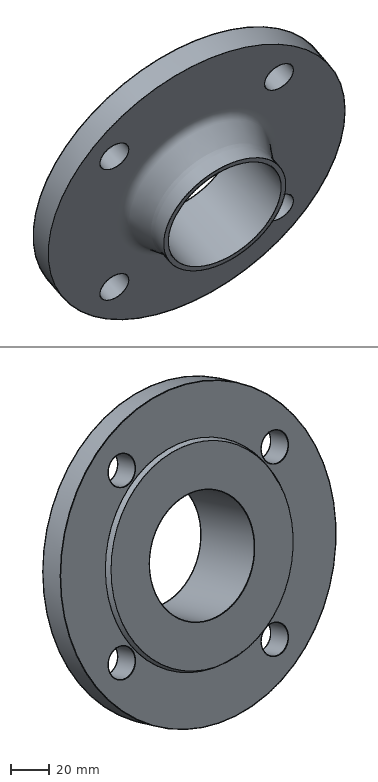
import cadquery as cq

flange_diameter = 185.0
overall_length = 45.0
bore_diameter = 70.3

face_height = 3.1
face_diameter = 122.1
face_base_diameter = 124.7

flange_back = 18.0

neck_base_diameter = 91.0
pipe_diameter = 76.0
pipe_length = 10.0
neck_blend_radius = 6.0

hole_diameter = 18.0
bolt_circle_diameter = 145.0
hole_count = 4
first_hole_angle = 180 / hole_count

edge_bevel = 0.2


def turned_body():
    """Revolve the half section about X, then blend both ends of the neck cone."""
    neck_end = overall_length - pipe_length
    half_section = (
        cq.Workplane("XY")
        .moveTo(edge_bevel, bore_diameter / 2)
        .lineTo(0, bore_diameter / 2 + edge_bevel)
        .lineTo(0, face_diameter / 2)
        .lineTo(face_height, face_base_diameter / 2)
        .lineTo(face_height, flange_diameter / 2 - edge_bevel)
        .lineTo(face_height + edge_bevel, flange_diameter / 2)
        .lineTo(flange_back, flange_diameter / 2)
        .lineTo(flange_back, neck_base_diameter / 2)
        .lineTo(neck_end, pipe_diameter / 2)
        .lineTo(overall_length, pipe_diameter / 2)
        .lineTo(overall_length, bore_diameter / 2)
        .close()
    )
    body = half_section.revolve(360, (0, 0, 0), (1, 0, 0))
    cone_ends = body.faces("%CONE").faces(">X").edges("%CIRCLE")
    return cone_ends.fillet(neck_blend_radius)


def bolt_holes():
    """Bevelled cutters through the flange on the bolt circle."""
    half_section = (
        cq.Workplane("XY")
        .moveTo(face_height, 0)
        .lineTo(face_height, hole_diameter / 2 + edge_bevel)
        .lineTo(face_height + edge_bevel, hole_diameter / 2)
        .lineTo(flange_back, hole_diameter / 2)
        .lineTo(flange_back, 0)
        .close()
    )
    cutter = half_section.revolve(360, (0, 0, 0), (1, 0, 0))
    cutter = cutter.translate((0, bolt_circle_diameter / 2, 0))
    holes = cq.Workplane("XY")
    for index in range(hole_count):
        angle = first_hole_angle + index * 360 / hole_count
        holes = holes.add(cutter.rotate((0, 0, 0), (1, 0, 0), angle))
    return holes.combine()


result = turned_body().cut(bolt_holes())